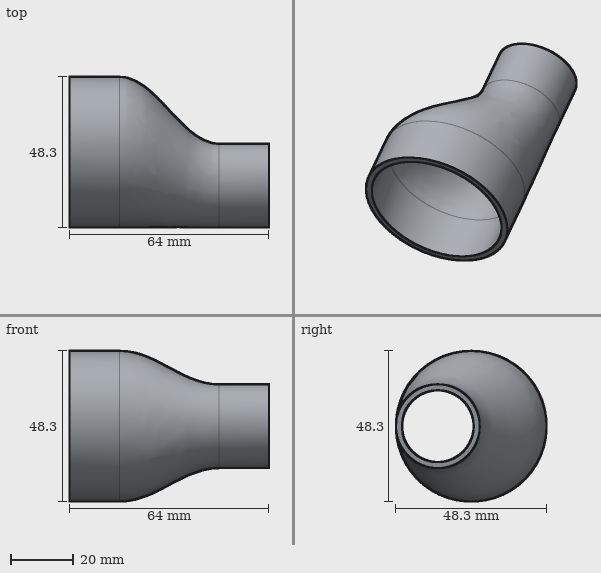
import cadquery as cq

large_outer_diameter = 48.3
large_inner_diameter = 44.3
small_outer_diameter = 26.9
small_inner_diameter = 22.9
total_length = 64.0
collar_length = 16.0
section_count = 9
handle_length = 0.38

transition_length = total_length - 2 * collar_length
small_end_offset = -(large_outer_diameter - small_outer_diameter) / 2


def s_curve(t):
    """Point (length fraction, blend fraction) on a cubic Bezier from (0, 0) to (1, 1), level at both ends."""
    leaving = 3 * t * (1 - t) ** 2
    arriving = 3 * t**2 * (1 - t)
    length_fraction = leaving * handle_length + arriving * (1 - handle_length) + t**3
    blend_fraction = arriving + t**3
    return length_fraction, blend_fraction


def circle_wire(x, y, diameter):
    return cq.Wire.makeCircle(diameter / 2, cq.Vector(x, y, 0), cq.Vector(1, 0, 0))


def cylinder(x, y, diameter):
    return cq.Solid.makeCylinder(
        diameter / 2, collar_length, cq.Vector(x, y, 0), cq.Vector(1, 0, 0)
    )


def transition(large_diameter, small_diameter):
    """Smooth loft whose diameter and centre follow the same S-curve."""
    sections = []
    for i in range(section_count):
        length_fraction, blend = s_curve(i / (section_count - 1))
        x = collar_length + length_fraction * transition_length
        diameter = large_diameter + blend * (small_diameter - large_diameter)
        sections.append(circle_wire(x, blend * small_end_offset, diameter))
    return cq.Solid.makeLoft(sections)


def reducer_body(large_diameter, small_diameter):
    """Solid reducer: large collar, transition and small collar."""
    large_collar = cylinder(0, 0, large_diameter)
    small_collar = cylinder(total_length - collar_length, small_end_offset, small_diameter)
    body = cq.Workplane(obj=large_collar)
    body = body.union(cq.Workplane(obj=transition(large_diameter, small_diameter)))
    return body.union(cq.Workplane(obj=small_collar))


outer_body = reducer_body(large_outer_diameter, small_outer_diameter)
bore = reducer_body(large_inner_diameter, small_inner_diameter)
result = outer_body.cut(bore)